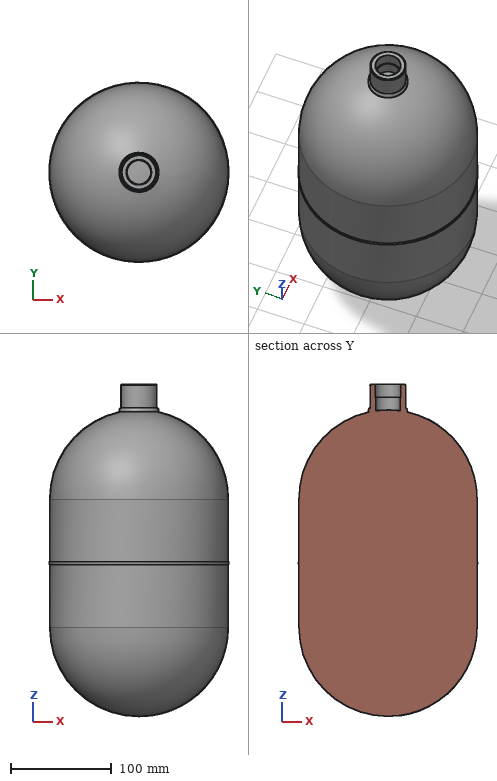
import cadquery as cq
import math

height = 330.2
shell_radius = 88.8
straight_length = 127.0
lower_dome_z = shell_radius
upper_dome_z = lower_dome_z + straight_length

bead_width = 3.0
bead_height = 0.5
bead_z = lower_dome_z + straight_length / 2

neck_radius = 17.8
neck_chamfer = 1.0
collar_radius = 19.5
collar_top_z = 306.8
collar_round = 3.3

bore_radius = 12.0
counterbore_radius = 12.5
counterbore_depth = 13.2


def dome_height(radius):
    """Height of the upper dome surface at a distance from the vessel axis."""
    return upper_dome_z + math.sqrt(shell_radius**2 - radius**2)


def bore_cylinder(radius, bottom_z):
    return cq.Workplane("XY").workplane(offset=bottom_z).circle(radius).extrude(height - bottom_z)


def make_body():
    """Solid of revolution: domes, cylinder, weld bead, collar and neck."""
    arc_mid = shell_radius * math.sqrt(0.5)
    return (
        cq.Workplane("XZ")
        .moveTo(0, 0)
        .threePointArc((arc_mid, lower_dome_z - arc_mid), (shell_radius, lower_dome_z))
        .lineTo(shell_radius, bead_z - bead_width / 2)
        .threePointArc((shell_radius + bead_height, bead_z), (shell_radius, bead_z + bead_width / 2))
        .lineTo(shell_radius, upper_dome_z)
        .threePointArc((arc_mid, upper_dome_z + arc_mid), (collar_radius, dome_height(collar_radius)))
        .radiusArc((neck_radius, collar_top_z), -collar_round)
        .lineTo(neck_radius, height - neck_chamfer)
        .lineTo(neck_radius - neck_chamfer, height)
        .lineTo(0, height)
        .close()
        .revolve(360, (0, 0), (0, 1))
    )


def make_bore():
    """Counterbored hole whose floor follows the dome."""
    dome = cq.Workplane("XY").sphere(shell_radius).translate((0, 0, upper_dome_z))
    bore = bore_cylinder(bore_radius, dome_height(bore_radius)).cut(dome)
    return bore.union(bore_cylinder(counterbore_radius, height - counterbore_depth))


result = make_body().cut(make_bore())